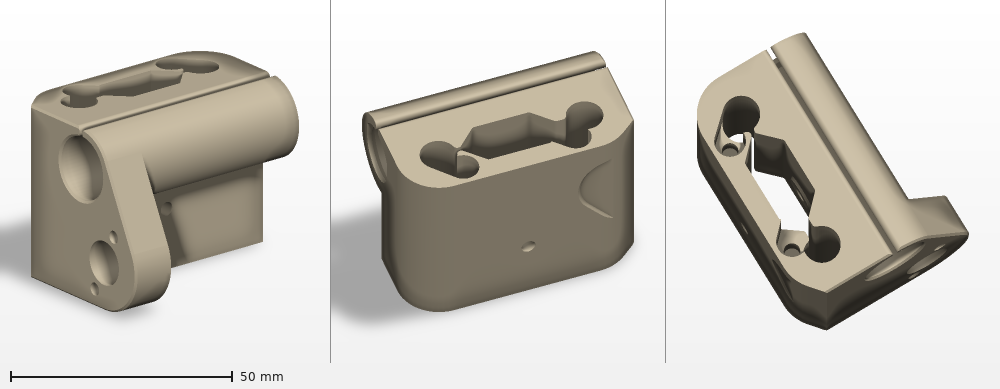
import cadquery as cq
import math

LENGTH = 55.2
HEIGHT = 41.7

BEARING_X, BEARING_Z = 23.3, 31.7
HOUSING_R = HEIGHT - BEARING_Z
BORE_R = 7.55
LIP_R = 6.5
LIP_LENGTH = 1.1
LIP_RAMP = BORE_R - LIP_R
SPLIT_WIDTH = 1.05
SPLIT_ROUND = 1.15

NUT_X, NUT_Z = 31.7, 11.4
NUT_BOSS_R = NUT_Z
NUT_HOLE_R = 5.3
NUT_SCREW_R = 1.55
NUT_SCREW_CIRCLE_R = 8.0
NUT_SCREW_ANGLE = 65.0
PLATE_LENGTH = 10.2
FRONT_CHAMFER = 0.5

CORNER_R = 10.0
FRONT_FACE_START_X = 5.3
ROD_X = 10.1
ROD_R = 4.25
ROD_Y_FRONT, ROD_Y_REAR = 10.15, 45.25
CHANNEL_HALF_WIDTH = 5.2
CHANNEL_LEFT_X = ROD_X - CHANNEL_HALF_WIDTH
CHANNEL_RIGHT_X = ROD_X + CHANNEL_HALF_WIDTH
CHANNEL_REAR_Y = 35.15
CHANNEL_FRONT_RIGHT_Y = 21.6
CHANNEL_FRONT_LEFT_Y = 20.15
MOUTH_FRONT_LEFT_Y = 16.7
ROD_SLIT_WIDTH = 1.0
ROD_SLIT_ROUND = 0.95
CHANNEL_CORNER_R = 1.0
BLOCK_WIDTH = CHANNEL_LEFT_X + CHANNEL_RIGHT_X

IDLER_Y, IDLER_Z = 27.3, 14.65
IDLER_HOLE_R = 1.65
SEAT_BASE_R = 4.6
SEAT_TOP_R = 4.1
SEAT_HEIGHT = 0.6

POCKET_X = 4.7
POCKET_Y_FRONT, POCKET_Y_REAR = 14.25, 41.25
POCKET_R = 3.6
POCKET_DEPTH = 11.05
POCKET_SCREW_R = 1.9
POCKET_SCREW_DEPTH = 5.5
FRONT_POCKET_TURN = 45.0

TEARDROP_Y, TEARDROP_Z = 6.55, 28.05
TEARDROP_R = 8.0
TEARDROP_TIP_DROP = 12.3
TEARDROP_DEPTH = 0.55
TEARDROP_SLANT = 0.85


def polar(x, y, radius, degrees):
    """Point on a circle about (x, y)."""
    angle = math.radians(degrees)
    return (x + radius * math.cos(angle), y + radius * math.sin(angle))


def box(x0, x1, y0, y1, z0, z1):
    return cq.Workplane("XY").box(x1 - x0, y1 - y0, z1 - z0, centered=False).translate((x0, y0, z0))


def cylinder_y(x, z, radius, y0, y1):
    return cq.Workplane("XZ", origin=(x, y0, z)).circle(radius).extrude(y0 - y1)


def cone_y(x, z, radius0, radius1, y0, y1):
    return cq.Workplane(cq.Solid.makeCone(radius0, radius1, y1 - y0, cq.Vector(x, y0, z), cq.Vector(0, 1, 0)))


def cylinder_z(x, y, radius, z0, z1):
    return cq.Workplane("XY", origin=(x, y, z0)).circle(radius).extrude(z1 - z0)


def front_plate():
    """Full front outline: housing and nut boss joined by their common tangent."""
    centre_gap = math.hypot(NUT_X - BEARING_X, BEARING_Z - NUT_Z)
    centre_line = math.degrees(math.atan2(NUT_Z - BEARING_Z, NUT_X - BEARING_X))
    tangent = centre_line + math.degrees(math.acos((HOUSING_R - NUT_BOSS_R) / centre_gap))
    plate = (
        cq.Workplane("XZ")
        .lineTo(0, HEIGHT)
        .lineTo(BEARING_X, HEIGHT)
        .threePointArc(
            polar(BEARING_X, BEARING_Z, HOUSING_R, (90 + tangent) / 2),
            polar(BEARING_X, BEARING_Z, HOUSING_R, tangent),
        )
        .lineTo(*polar(NUT_X, NUT_Z, NUT_BOSS_R, tangent))
        .threePointArc(polar(NUT_X, NUT_Z, NUT_BOSS_R, (tangent - 90) / 2), (NUT_X, 0))
        .close()
        .extrude(-PLATE_LENGTH)
    )
    return plate.faces("<Y").edges().chamfer(FRONT_CHAMFER)


def rear_body():
    """Rod block and bearing housing; the space behind the nut stays open."""
    block = box(0, BLOCK_WIDTH, PLATE_LENGTH, LENGTH, 0, HEIGHT)
    bridge = box(0, BEARING_X, PLATE_LENGTH, LENGTH, BEARING_Z, HEIGHT)
    housing = cylinder_y(BEARING_X, BEARING_Z, HOUSING_R, PLATE_LENGTH, LENGTH)
    return block.union(bridge).union(housing)


def plan_limit():
    """Plan outline rounding the rear corner and easing the front corner into a flat."""
    reach = NUT_X + NUT_BOSS_R
    flat_turn = 2 * math.degrees(math.atan2(CORNER_R - FRONT_FACE_START_X, CORNER_R))
    flat_start = 270 - flat_turn
    return (
        cq.Workplane("XY")
        .moveTo(FRONT_FACE_START_X, 0)
        .lineTo(reach, 0)
        .lineTo(reach, LENGTH)
        .lineTo(CORNER_R, LENGTH)
        .threePointArc(polar(CORNER_R, LENGTH - CORNER_R, CORNER_R, 135), (0, LENGTH - CORNER_R))
        .lineTo(0, CORNER_R)
        .threePointArc(
            polar(CORNER_R, CORNER_R, CORNER_R, (180 + flat_start) / 2),
            polar(CORNER_R, CORNER_R, CORNER_R, flat_start),
        )
        .close()
        .extrude(HEIGHT)
    )


def bearing_bore():
    """Bore with a front chamfer, and a ramp down to a U-shaped opening in the rear lip."""
    ramp_end = LENGTH - LIP_LENGTH
    ramp_start = ramp_end - LIP_RAMP
    chamfer = cone_y(BEARING_X, BEARING_Z, BORE_R + FRONT_CHAMFER, BORE_R, 0, FRONT_CHAMFER)
    bore = cylinder_y(BEARING_X, BEARING_Z, BORE_R, 0, ramp_start)
    ramp = cone_y(BEARING_X, BEARING_Z, BORE_R, LIP_R, ramp_start, ramp_end)
    lip_upper = box(
        BEARING_X - LIP_R, BEARING_X + LIP_R, ramp_start, LENGTH, BEARING_Z, BEARING_Z + BORE_R
    ).intersect(cylinder_y(BEARING_X, BEARING_Z, BORE_R, ramp_start, LENGTH))
    lip_lower = cylinder_y(BEARING_X, BEARING_Z, LIP_R, ramp_start, LENGTH)
    return chamfer.union(bore).union(ramp).union(lip_upper).union(lip_lower)


def housing_split():
    """Slit along the top of the housing with rounded edges on both jaws."""
    bore = cylinder_y(BEARING_X, BEARING_Z, BORE_R, 0, LENGTH)
    half = SPLIT_WIDTH / 2
    slit = box(BEARING_X - half, BEARING_X + half, 0, LENGTH, BEARING_Z, HEIGHT)
    jaw_span = HOUSING_R / 2
    left = box(BEARING_X - jaw_span, BEARING_X, 0, LENGTH, BEARING_Z, HEIGHT)
    right = box(BEARING_X, BEARING_X + jaw_span, 0, LENGTH, BEARING_Z, HEIGHT)
    right = right.intersect(cylinder_y(BEARING_X, BEARING_Z, HOUSING_R, 0, LENGTH))
    zone = left.union(right).cut(bore)
    jaws = zone.cut(slit)
    near_slit = cq.selectors.BoxSelector(
        (BEARING_X - SPLIT_WIDTH, 0, BEARING_Z), (BEARING_X + SPLIT_WIDTH, LENGTH, HEIGHT + SPLIT_WIDTH)
    )
    jaws = jaws.edges("|Y").edges(near_slit).fillet(SPLIT_ROUND)
    return zone.cut(jaws)


def nut_holes():
    holes = cylinder_y(NUT_X, NUT_Z, NUT_HOLE_R, 0, PLATE_LENGTH)
    for angle in (NUT_SCREW_ANGLE, NUT_SCREW_ANGLE + 180):
        x, z = polar(NUT_X, NUT_Z, NUT_SCREW_CIRCLE_R, angle)
        holes = holes.union(cylinder_y(x, z, NUT_SCREW_R, 0, PLATE_LENGTH))
    return holes


def rod_channel():
    """Both rod holes, their slits and the belt channel as one vertical cut."""
    half = ROD_SLIT_WIDTH / 2
    taper = CHANNEL_HALF_WIDTH - half
    channel = (
        cq.Workplane("XY")
        .polyline([
            (CHANNEL_LEFT_X, CHANNEL_FRONT_LEFT_Y),
            (ROD_X - half, MOUTH_FRONT_LEFT_Y),
            (ROD_X - half, ROD_Y_FRONT),
            (ROD_X + half, ROD_Y_FRONT),
            (ROD_X + half, CHANNEL_FRONT_RIGHT_Y - taper),
            (CHANNEL_RIGHT_X, CHANNEL_FRONT_RIGHT_Y),
            (CHANNEL_RIGHT_X, CHANNEL_REAR_Y),
            (ROD_X + half, CHANNEL_REAR_Y + taper),
            (ROD_X + half, ROD_Y_REAR),
            (ROD_X - half, ROD_Y_REAR),
            (ROD_X - half, CHANNEL_REAR_Y + taper),
            (CHANNEL_LEFT_X, CHANNEL_REAR_Y),
        ])
        .close()
        .extrude(HEIGHT)
    )
    for y in (ROD_Y_FRONT, ROD_Y_REAR):
        channel = channel.union(cylinder_z(ROD_X, y, ROD_R, 0, HEIGHT))
    slit_edges = cq.selectors.BoxSelector(
        (ROD_X - ROD_SLIT_WIDTH, 0, 0), (ROD_X + ROD_SLIT_WIDTH, LENGTH, HEIGHT)
    )
    channel = channel.edges("|Z").edges(slit_edges).fillet(ROD_SLIT_ROUND)
    return channel.edges("|Z").edges(">X").fillet(CHANNEL_CORNER_R)


def screw_pocket(y, rear):
    """Round pocket and blind screw hole; the rear pocket opens into its rod hole, the front one
    runs diagonally into the channel."""
    floor = HEIGHT - POCKET_DEPTH
    pocket = cylinder_z(POCKET_X, y, POCKET_R, floor, HEIGHT)
    if rear:
        dx, dy = ROD_X - POCKET_X, ROD_Y_REAR - y
        centre_line = math.degrees(math.atan2(dy, dx))
        side = centre_line + math.degrees(math.acos((POCKET_R - ROD_R) / math.hypot(dx, dy)))
        opening = [
            (POCKET_X, y),
            polar(POCKET_X, y, POCKET_R, side),
            polar(ROD_X, ROD_Y_REAR, ROD_R, side),
            (ROD_X, ROD_Y_REAR),
        ]
    else:
        rise = math.tan(math.radians(FRONT_POCKET_TURN))
        left = polar(POCKET_X, y, POCKET_R, FRONT_POCKET_TURN + 90)
        right = polar(POCKET_X, y, POCKET_R, FRONT_POCKET_TURN - 90)
        opening = [
            left,
            (ROD_X, left[1] + rise * (ROD_X - left[0])),
            (ROD_X, right[1] + rise * (ROD_X - right[0])),
            right,
        ]
    passage = cq.Workplane("XY", origin=(0, 0, floor)).polyline(opening).close().extrude(POCKET_DEPTH)
    pocket = pocket.union(passage)
    return pocket.union(cylinder_z(POCKET_X, y, POCKET_SCREW_R, floor - POCKET_SCREW_DEPTH, floor))


def idler_seat(x, direction):
    """Tapered seat rising from one channel wall toward the middle of the channel."""
    base = cq.Vector(x, IDLER_Y, IDLER_Z)
    axis = cq.Vector(direction, 0, 0)
    return cq.Workplane(cq.Solid.makeCone(SEAT_BASE_R, SEAT_TOP_R, SEAT_HEIGHT, base, axis))


def idler_hole():
    return cq.Workplane("YZ", origin=(0, IDLER_Y, IDLER_Z)).circle(IDLER_HOLE_R).extrude(BLOCK_WIDTH)


def teardrop_profile(x, y):
    """Teardrop with its tip pointing down, on a plane of constant x."""
    tangent = math.degrees(math.acos(TEARDROP_R / TEARDROP_TIP_DROP))
    return (
        cq.Workplane("YZ", origin=(x, y, TEARDROP_Z))
        .moveTo(0, -TEARDROP_TIP_DROP)
        .lineTo(*polar(0, 0, TEARDROP_R, tangent - 90))
        .threePointArc((0, TEARDROP_R), polar(0, 0, TEARDROP_R, -90 - tangent))
        .close()
        .wires()
        .val()
    )


def teardrop_recess():
    """Recess whose walls lean toward the front as they go in from the side wall."""
    floor = teardrop_profile(TEARDROP_DEPTH, TEARDROP_Y)
    mouth = teardrop_profile(0, TEARDROP_Y + TEARDROP_SLANT)
    return cq.Workplane(cq.Solid.makeLoft([floor, mouth], True))


body = front_plate().union(rear_body()).intersect(plan_limit())
body = body.cut(bearing_bore()).cut(housing_split()).cut(nut_holes())
body = body.cut(rod_channel())
body = body.cut(screw_pocket(POCKET_Y_FRONT, False)).cut(screw_pocket(POCKET_Y_REAR, True))
body = body.union(idler_seat(CHANNEL_LEFT_X, 1)).union(idler_seat(CHANNEL_RIGHT_X, -1))
result = body.cut(idler_hole()).cut(teardrop_recess())